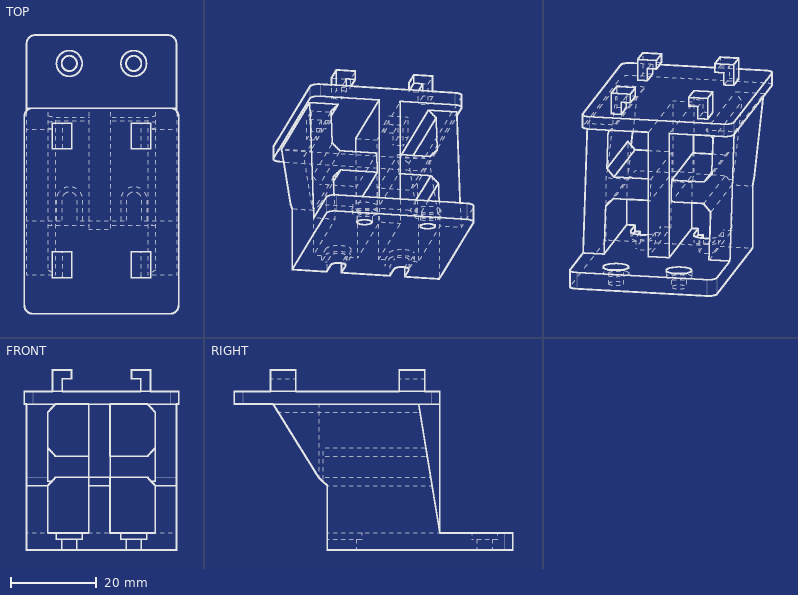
import cadquery as cq

base_width = 35.0
base_length = 43.3
base_thickness = 3.95
corner_radius = 2.0
hole_diameter = 3.5
counterbore_diameter = 6.0
counterbore_depth = 1.5
hole_offset_x = 7.51
rear_hole_y = -6.6
slot_end_y = -base_length + 5.0

plate_width = 36.0
plate_length = 48.0
plate_thickness = 3.0
total_length = 65.0
total_height = 42.0
hook_height = 5.0
plate_top = total_height - hook_height
plate_bottom = plate_top - plate_thickness
plate_rear_y = -(total_length - plate_length)

hook_length = 6.0
hook_reach = 4.5
hook_stem = 2.35
hook_tip = 2.1
hook_outer_x = 11.45
hook_centers_y = (-23.5, -53.55)

wall = 5.0
rib_center_x = -0.5
wall_top_rear_y = -22.0
wall_top_front_y = -55.9
flare = 2.0
flare_height = 1.9
shelf_bottom = 16.9
shelf_top = shelf_bottom + wall
shelf_front_y = -44.3
gusset_width = 1.75
gusset_height = 1.9
flare_y = -base_length - flare


def box(x0, x1, y0, y1, z0, z1):
    """Block between pairs of opposite coordinates."""
    return cq.Workplane("XY").box(x1 - x0, y1 - y0, z1 - z0, centered=False).translate((x0, y0, z0))


def side_profile(points, x0, width):
    """Extrude a (Y, Z) outline along +X from x0."""
    return cq.Workplane("YZ", origin=(x0, 0, 0)).polyline(points).close().extrude(width)


def cross_profile(points):
    """Extrude an (X, Z) outline along the full length of the part."""
    return cq.Workplane("XZ").polyline(points).close().extrude(total_length)


def make_base():
    base = box(-base_width / 2, base_width / 2, -base_length, 0, 0, base_thickness)
    return base.edges("|Z and >Y").fillet(corner_radius)


def make_plate():
    front_y = plate_rear_y - plate_length
    plate = box(-plate_width / 2, plate_width / 2, front_y, plate_rear_y, plate_bottom, plate_top)
    return plate.edges("|Z").fillet(corner_radius)


def make_walls():
    """Side walls and shelf: a sloping block opened by two windows on each side of the rib."""
    walls = side_profile(
        [
            (plate_rear_y, base_thickness),
            (-base_length, base_thickness),
            (-base_length, shelf_bottom - flare_height),
            (flare_y, shelf_bottom),
            (wall_top_front_y, plate_bottom),
            (wall_top_rear_y, plate_bottom),
        ],
        -base_width / 2,
        base_width,
    )
    inner_x = base_width / 2 - wall
    for side in (-1, 1):
        outer = side * inner_x
        gusset = side * (inner_x - gusset_width)
        lower_window = [
            (rib_center_x, base_thickness),
            (outer, base_thickness),
            (outer, shelf_bottom - gusset_height),
            (gusset, shelf_bottom),
            (rib_center_x, shelf_bottom),
        ]
        upper_window = [
            (rib_center_x, shelf_top),
            (gusset, shelf_top),
            (outer, shelf_top + gusset_height),
            (outer, plate_bottom - gusset_height),
            (gusset, plate_bottom),
            (rib_center_x, plate_bottom),
        ]
        walls = walls.cut(cross_profile(lower_window)).cut(cross_profile(upper_window))
    shelf_relief = box(
        -inner_x, inner_x, -total_length, shelf_front_y,
        shelf_bottom - gusset_height, shelf_top + gusset_height,
    )
    return walls.cut(shelf_relief)


def make_rib():
    """Central rib with upright front and rear faces and a flare under its upper part."""
    return side_profile(
        [
            (plate_rear_y, base_thickness),
            (-base_length, base_thickness),
            (-base_length, shelf_bottom - flare_height),
            (flare_y, shelf_bottom),
            (flare_y, plate_bottom),
            (plate_rear_y, plate_bottom),
        ],
        rib_center_x - wall / 2,
        wall,
    )


def make_hook(side, center_y):
    """L-shaped hook whose tip points toward the middle of the plate."""
    outline = [
        (hook_outer_x, plate_top),
        (hook_outer_x, total_height),
        (hook_outer_x - hook_reach, total_height),
        (hook_outer_x - hook_reach, total_height - hook_tip),
        (hook_outer_x - hook_stem, total_height - hook_tip),
        (hook_outer_x - hook_stem, plate_top),
    ]
    points = [(side * x, z) for x, z in outline]
    rear_y = center_y + hook_length / 2
    return cq.Workplane("XZ", origin=(0, rear_y, 0)).polyline(points).close().extrude(hook_length)


def round_cut(x, y, diameter, bottom, open_front):
    """Vertical hole up to the base top, optionally run out through the front edge as a slot."""
    hole = cq.Workplane("XY", origin=(x, y, bottom)).circle(diameter / 2).extrude(base_thickness - bottom)
    if open_front:
        run_out = box(x - diameter / 2, x + diameter / 2, -base_length, y, bottom, base_thickness)
        hole = hole.union(run_out)
    return hole


result = make_base().union(make_plate()).union(make_walls()).union(make_rib())

for side in (-1, 1):
    for center_y in hook_centers_y:
        result = result.union(make_hook(side, center_y))

counterbore_bottom = base_thickness - counterbore_depth
for x in (-hole_offset_x, hole_offset_x):
    for y, open_front in ((rear_hole_y, False), (slot_end_y, True)):
        result = result.cut(round_cut(x, y, hole_diameter, 0, open_front))
        result = result.cut(round_cut(x, y, counterbore_diameter, counterbore_bottom, open_front))